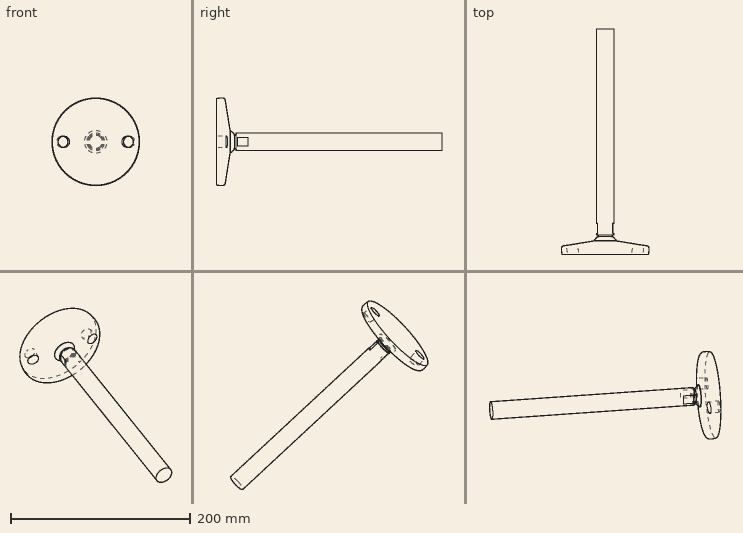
import cadquery as cq
import math


foot_diameter = 98.0
underside_diameter = 96.8
taper_height = 3.8
rim_top = 6.8
shoulder_radius = 3.3
cone_angle = math.radians(9.1)
collar_base_radius = 12.5
collar_top_radius = 8.5
collar_step = 0.5
collar_top = 20.2

hole_diameter = 12.5
hole_spacing = 71.0

overall_length = 252.0
stem_diameter = 20.0
stem_start = 22.2
neck_top_radius = 8.3
neck_bottom_radius = 7.3
flats_start = 23.7
flats_end = 35.0
across_flats = 17.5


def make_foot():
    """Turned disc with a conical upper face, a central stepped collar and two tilted holes."""
    foot_radius = foot_diameter / 2
    arc_centre = foot_radius - shoulder_radius

    def shoulder_point(angle):
        return (
            arc_centre + shoulder_radius * math.cos(angle),
            rim_top + shoulder_radius * math.sin(angle),
        )

    arc_end_angle = math.pi / 2 - cone_angle
    cone_edge = shoulder_point(arc_end_angle)
    collar_base = cone_edge[1] + (cone_edge[0] - collar_base_radius) * math.tan(cone_angle)

    foot = (
        cq.Workplane("XY")
        .moveTo(0, 0)
        .lineTo(underside_diameter / 2, 0)
        .lineTo(foot_radius, taper_height)
        .lineTo(foot_radius, rim_top)
        .threePointArc(shoulder_point(arc_end_angle / 2), cone_edge)
        .lineTo(collar_base_radius, collar_base)
        .lineTo(collar_base_radius, collar_base + collar_step)
        .lineTo(collar_top_radius, collar_top)
        .lineTo(0, collar_top)
        .close()
        .revolve(360, (0, 0, 0), (0, 1, 0))
    )
    for side in (-1, 1):
        foot = foot.cut(make_hole_cutter(side))
    return foot


def make_hole_cutter(side):
    """Cylinder leaning outward, centred on the hole's mouth in the underside."""
    mouth = cq.Vector(side * hole_spacing / 2, 0, 0)
    direction = cq.Vector(side * math.sin(cone_angle), math.cos(cone_angle), 0)
    reach = collar_top
    return cq.Solid.makeCylinder(hole_diameter / 2, 2 * reach, mouth - direction * reach, direction)


def make_stem():
    """Round stem with a tapered neck resting on the collar and two wrench flats."""
    stem_radius = stem_diameter / 2
    stem = (
        cq.Workplane("XY")
        .moveTo(0, collar_top)
        .lineTo(neck_bottom_radius, collar_top)
        .lineTo(neck_top_radius, stem_start)
        .lineTo(stem_radius, stem_start)
        .lineTo(stem_radius, overall_length)
        .lineTo(0, overall_length)
        .close()
        .revolve(360, (0, 0, 0), (0, 1, 0))
    )
    flats_length = flats_end - flats_start
    for side in (-1, 1):
        block_centre = side * (across_flats + stem_diameter) / 2
        block = cq.Workplane("XY").box(stem_diameter, flats_length, stem_diameter)
        stem = stem.cut(block.translate((block_centre, flats_start + flats_length / 2, 0)))
    return stem


foot = make_foot()
stem = make_stem()
result = cq.Compound.makeCompound([foot.val(), stem.val()])